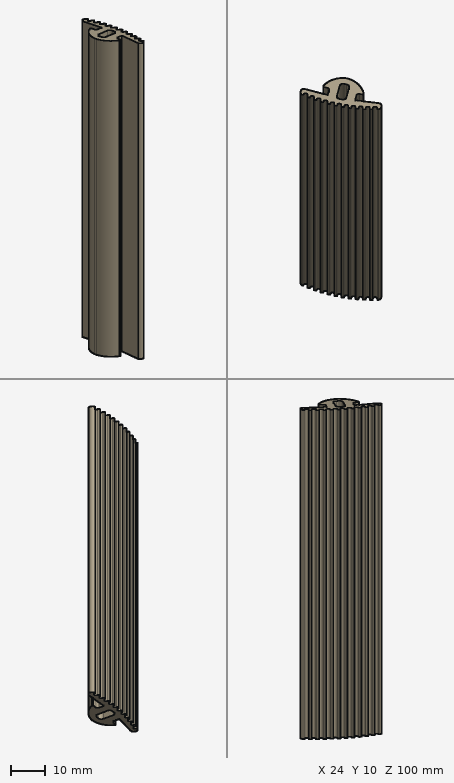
import cadquery as cq
import math

length = 100.0
width = 24.0
height = 10.0

crown_radius = 43.0
rib_count = 12
rib_pitch = 2.1
groove_width = 1.2
groove_depth = 1.0
rib_tip_round = 0.25
underside_y = 6.9
edge_bottom_y = 6.3
edge_bulge = 0.8

stem_width = 8.1
foot_width = 11.9
foot_top_y = 4.5
foot_corner_y = 3.9
stem_round = 0.7
tip_radius = 3.5
tip_half_width = 0.4

slot_width = 2.8
slot_bottom_y = 2.1
slot_top_y = 7.5
slot_round = 1.0

half_width = width / 2
half_stem = stem_width / 2
half_foot = foot_width / 2

half_pitch_angle = rib_pitch / crown_radius / 2
crown_center_y = height - crown_radius * math.cos(half_pitch_angle)
crown_top_y = crown_center_y + crown_radius


def crown_y(x):
    """Height of the crown arc at a given x."""
    return crown_center_y + math.sqrt(crown_radius**2 - x**2)


def make_flange():
    shoulder_x = half_width - edge_bulge
    shoulder_y = crown_y(shoulder_x)
    edge_middle_y = (shoulder_y + edge_bottom_y) / 2
    return (
        cq.Workplane("XY")
        .moveTo(-shoulder_x, shoulder_y)
        .threePointArc((0, crown_top_y), (shoulder_x, shoulder_y))
        .threePointArc((half_width, edge_middle_y), (shoulder_x, edge_bottom_y))
        .lineTo(half_stem, underside_y)
        .lineTo(-half_stem, underside_y)
        .lineTo(-shoulder_x, edge_bottom_y)
        .threePointArc((-half_width, edge_middle_y), (-shoulder_x, shoulder_y))
        .close()
        .extrude(length)
    )


def make_foot():
    stem_top_y = underside_y + groove_depth
    tip_join_y = tip_radius - math.sqrt(tip_radius**2 - tip_half_width**2)
    half_foot_body = (
        cq.Workplane("XY")
        .moveTo(0, 0)
        .radiusArc((tip_half_width, tip_join_y), -tip_radius)
        .tangentArcPoint((half_foot, foot_corner_y), relative=False)
        .lineTo(half_foot, foot_top_y)
        .lineTo(half_stem, foot_top_y)
        .lineTo(half_stem, stem_top_y)
        .lineTo(0, stem_top_y)
        .close()
        .extrude(length)
    )
    inner_corner = cq.selectors.NearestToPointSelector((half_stem, foot_top_y, length / 2))
    right_half = half_foot_body.edges(inner_corner).fillet(stem_round)
    return right_half.union(right_half.mirror("YZ"))


def make_slot():
    return (
        cq.Workplane("XY")
        .center(0, (slot_bottom_y + slot_top_y) / 2)
        .rect(slot_width, slot_top_y - slot_bottom_y)
        .extrude(length)
        .edges("|Z")
        .fillet(slot_round)
    )


def make_groove(angle):
    """Round-bottomed groove pointing at the crown center, tilted by angle degrees."""
    return (
        cq.Workplane("XY")
        .center(0, crown_top_y)
        .slot2D(2 * groove_depth, groove_width, 90)
        .extrude(length)
        .rotate((0, crown_center_y, 0), (0, crown_center_y, 1), angle)
    )


def cut_ribs(flange):
    groove_count = rib_count - 1
    pitch_angle = math.degrees(rib_pitch / crown_radius)
    for index in range(groove_count):
        steps_from_middle = index - (groove_count - 1) / 2
        flange = flange.cut(make_groove(steps_from_middle * pitch_angle))
    return flange.edges("|Z").filter(is_on_crown).fillet(rib_tip_round)


def is_on_crown(edge):
    """True for the lengthwise edges at the rib tips, which lie on the crown arc."""
    tolerance = 0.001
    center = edge.Center()
    return abs(math.hypot(center.x, center.y - crown_center_y) - crown_radius) < tolerance


result = cut_ribs(make_flange()).union(make_foot()).cut(make_slot())